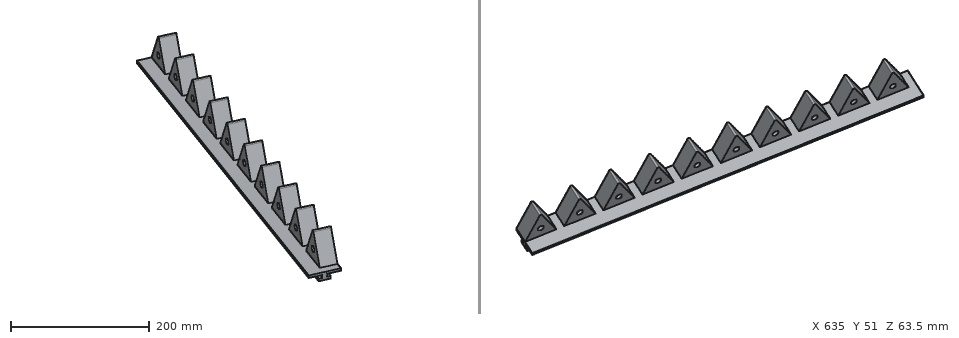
import cadquery as cq
import math

length = 635.0
plate_width = 51.0
total_height = 63.5
plate_top = 14.0
plate_thickness = 4.5

rail_center_y = plate_width / 2
foot_width = 19.0
foot_thickness = 4.5
web_width = 7.5

tooth_count = 10
tooth_pitch = length / tooth_count
tooth_width = 51.0
tooth_depth = 28.0
tip_radius = 2.05
hole_diameter = 9.5
hole_z = 32.0

tip_center_height = total_height - tip_radius - plate_top
corner_to_tip_center = math.hypot(tooth_width / 2, tip_center_height)
flank_angle = math.atan2(tip_center_height, tooth_width / 2) + math.asin(tip_radius / corner_to_tip_center)
tip_half_width = tip_radius * math.sin(flank_angle)
tip_tangent_z = total_height - tip_radius + tip_radius * math.cos(flank_angle)


def bar(width, center_y, bottom, top):
    """Full-length bar of rectangular section."""
    return (
        cq.Workplane("XY")
        .box(length, width, top - bottom, centered=(False, True, False))
        .translate((0, center_y, bottom))
    )


def tooth(start_x):
    """Round-tipped triangular tooth, with a round hole from front to back."""
    center_x = start_x + tooth_width / 2
    body = (
        cq.Workplane("XZ", origin=(0, plate_width, 0))
        .moveTo(start_x, plate_top)
        .lineTo(start_x + tooth_width, plate_top)
        .lineTo(center_x + tip_half_width, tip_tangent_z)
        .threePointArc((center_x, total_height), (center_x - tip_half_width, tip_tangent_z))
        .close()
        .extrude(tooth_depth)
    )
    hole = (
        cq.Workplane("XZ", origin=(0, plate_width, 0))
        .center(center_x, hole_z)
        .circle(hole_diameter / 2)
        .extrude(tooth_depth)
    )
    return body.cut(hole)


def rail_base():
    """Plate, web and foot in one piece."""
    plate_bottom = plate_top - plate_thickness
    plate = bar(plate_width, plate_width / 2, plate_bottom, plate_top)
    web = bar(web_width, rail_center_y, foot_thickness, plate_bottom)
    foot = bar(foot_width, rail_center_y, 0, foot_thickness)
    return plate.union(web).union(foot)


result = rail_base()
for index in range(tooth_count):
    result = result.union(tooth(index * tooth_pitch))